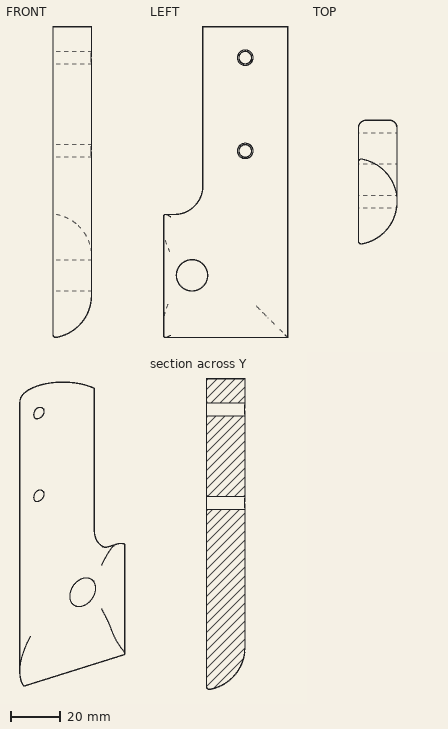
import cadquery as cq
import math

thickness = 15.8
width = 50.6
height = 126.8

back_radius = 17.6
front_fillet = 1.3
arc_center_x = thickness - back_radius
fillet_offset = front_fillet - arc_center_x
edge_depth = front_fillet + math.sqrt((back_radius - front_fillet) ** 2 - fillet_offset ** 2)

neck_width = 2 * edge_depth
ledge_height = 50.2
notch_radius = 11.5
notch_axis_y = neck_width + notch_radius
notch_axis_z = ledge_height + notch_radius

end_fillet = 3.3

screw_diameter = 5.1
screw_recess_diameter = 6.3
screw_recess_depth = 0.1
screw_heights = (76.0, 114.1)
pivot_diameter = 12.7
pivot_y = 39.0
pivot_z = 25.4

margin = 1.3


def edge_waste(plane, reach):
    """Sketch the area outside the half-round edge.

    Local x runs through the thickness; local y points outward from the edge.
    """
    def back_point(angle):
        return (
            arc_center_x + back_radius * math.cos(angle),
            -edge_depth + back_radius * math.sin(angle),
        )

    blend_angle = math.atan2(edge_depth - front_fillet, fillet_offset)
    blend_mid = (blend_angle + math.pi / 2) / 2
    fillet_mid = front_fillet * (1 - math.sqrt(0.5))
    return (
        cq.Workplane(plane)
        .moveTo(0, reach)
        .lineTo(0, -front_fillet)
        .threePointArc((fillet_mid, -fillet_mid), (front_fillet, 0))
        .threePointArc(
            (front_fillet * (1 + math.cos(blend_mid)), front_fillet * (math.sin(blend_mid) - 1)),
            back_point(blend_angle),
        )
        .threePointArc(back_point(blend_angle / 2), (thickness, -edge_depth))
        .lineTo(thickness, reach)
        .close()
    )


def straight_waste(origin, direction, length, reach):
    """Waste along a straight edge; outward is direction cross X."""
    plane = cq.Plane(origin=origin, xDir=(1, 0, 0), normal=direction)
    return edge_waste(plane, reach).extrude(length)


def notch_corner_waste():
    """Waste swept around the concave corner of the notch."""
    plane = cq.Plane(origin=(0, neck_width, notch_axis_z), xDir=(1, 0, 0), normal=(0, 0, 1))
    return edge_waste(plane, notch_radius).revolve(90, (0, notch_radius), (1, notch_radius))


def round_cut(y, z, diameter, depth):
    """Cylinder cut inward from the flat front face."""
    return cq.Workplane("YZ").center(y, z).circle(diameter / 2).extrude(depth)


body = cq.Workplane("XY").box(thickness, width, height, centered=False)
body = body.edges("|Z and >Y").fillet(end_fillet)

body = body.cut(straight_waste((0, 0, height), (0, 0, -1), height, margin))
body = body.cut(straight_waste((0, 0, 0), (0, 1, 0), width, margin))
body = body.cut(
    straight_waste((0, neck_width, notch_axis_z), (0, 0, 1), height - notch_axis_z, width - neck_width)
)
body = body.cut(
    straight_waste((0, width, ledge_height), (0, -1, 0), width - notch_axis_y, notch_radius)
)
body = body.cut(notch_corner_waste())

for screw_z in screw_heights:
    body = body.cut(round_cut(edge_depth, screw_z, screw_diameter, thickness))
    body = body.cut(round_cut(edge_depth, screw_z, screw_recess_diameter, screw_recess_depth))
body = body.cut(round_cut(pivot_y, pivot_z, pivot_diameter, thickness))

result = body